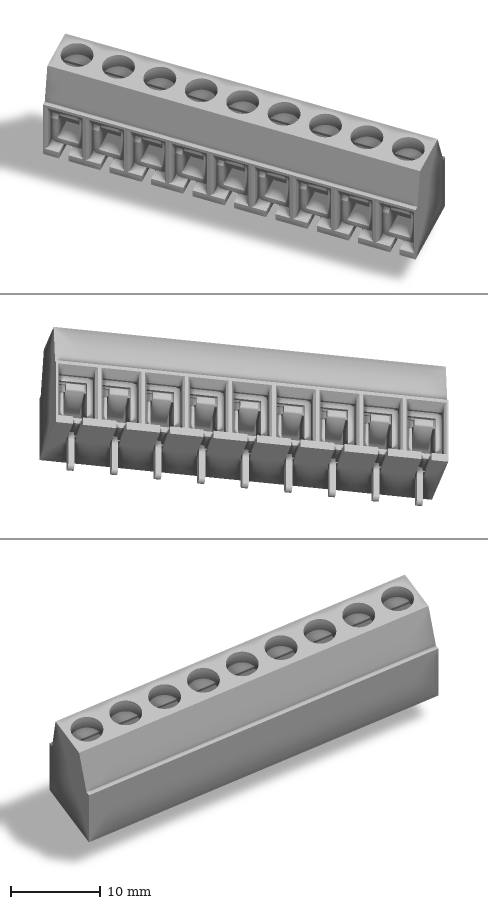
import cadquery as cq
import math

ROW_LENGTH = 45.0
POLE_COUNT = 9
POLE_WIDTH = ROW_LENGTH / POLE_COUNT
MID_X = POLE_WIDTH / 2

DEPTH = 9.0
HEIGHT = 12.95
LEDGE_HEIGHT = 7.95
LEDGE_DEPTH = 0.55
TOP_FRONT_Y = 1.35
TOP_BACK_Y = 6.75

AXIS_Y = 4.1
WELL_DIAMETER = 3.7
WELL_DEPTH = 1.8
DRIVER_SLOT_WIDTH = 0.8
DRIVER_SLOT_DEPTH = 0.35
PIN_LENGTH = 3.65
PIN_WIDTH = 0.7
PIN_THICKNESS = 1.1
PIN_NECK_WIDTH = 0.6
PIN_SLOT_WIDTH = 1.12
SHOULDER_BOTTOM = 0.4
SHOULDER_TOP = 0.55

FLOOR_HEIGHT = 0.95
RIM_WIDTH = 0.202
RIM_TOP = 7.55
POCKET_INSET = 0.428
POCKET_RIGHT = POLE_WIDTH - POCKET_INSET
POCKET_TOP = 6.9
LEAD_IN_STEEPNESS = math.tan(math.radians(60.0))
SIDE_LEAD_IN = (POCKET_INSET - RIM_WIDTH) * LEAD_IN_STEEPNESS
TOP_LEAD_IN = (RIM_TOP - POCKET_TOP) * LEAD_IN_STEEPNESS
FRAME_Y = 1.5
FRAME_RELIEF = 0.22
FRAME_CORNER_RADIUS = 0.68

WINDOW_INSET = 1.15
WINDOW_BOTTOM = 1.6
WINDOW_TOP = 6.2
WINDOW_CORNER_RADIUS = 0.2
WINDOW_BACK_Y = 4.28

NOTCH_SILL_FRONT = 4.6
NOTCH_SILL_BACK = 5.0
NOTCH_BACK_Y = 1.8
STEP_TOP = 5.95
STEP_DEPTH = 0.15
STEP_CORNER_RADIUS = 0.45

CLAMP_INSET = 1.45
CLAMP_FRONT_Y = FRAME_Y
CLAMP_FACE_BOTTOM = 5.18
CLAMP_SLOPE_END = 3.6
CLAMP_NOSE_RADIUS = 0.3
CLAMP_FOOT_RADIUS = 0.45
CROSSBAR_BOTTOM = 5.1


def box(x_range, y_range, z_range):
    """Box between the given pairs of X, Y and Z limits."""
    size = [high - low for low, high in (x_range, y_range, z_range)]
    return cq.Workplane("XY").box(*size, centered=False).translate((x_range[0], y_range[0], z_range[0]))


def centred(width):
    """X limits of a feature of this width in the middle of the pole."""
    return (MID_X - width / 2, MID_X + width / 2)


def extrude_profile(points, x_range):
    """Closed (Y, Z) outline extruded between two X limits."""
    length = x_range[1] - x_range[0]
    return cq.Workplane("YZ").polyline(points).close().extrude(length).translate((x_range[0], 0, 0))


def housing_block():
    outline = [
        (0, 0),
        (DEPTH, 0),
        (DEPTH, LEDGE_HEIGHT),
        (DEPTH - LEDGE_DEPTH, LEDGE_HEIGHT),
        (TOP_BACK_Y, HEIGHT),
        (TOP_FRONT_Y, HEIGHT),
        (LEDGE_DEPTH, LEDGE_HEIGHT),
        (0, LEDGE_HEIGHT),
    ]
    return extrude_profile(outline, (0, POLE_WIDTH))


def screw_well():
    """Round well with a driver slot across its floor."""
    floor_z = HEIGHT - WELL_DEPTH
    well = cq.Workplane("XY", origin=(MID_X, AXIS_Y, floor_z)).circle(WELL_DIAMETER / 2).extrude(WELL_DEPTH)
    below = cq.Workplane("XY", origin=(MID_X, AXIS_Y, floor_z - DRIVER_SLOT_DEPTH))
    disc = below.circle(WELL_DIAMETER / 2).extrude(DRIVER_SLOT_DEPTH)
    strip = below.rect(WELL_DIAMETER, DRIVER_SLOT_WIDTH).extrude(DRIVER_SLOT_DEPTH)
    return well.union(disc.intersect(strip))


def wire_funnel():
    """Lead-in sloped at the top and sides, and the straight pocket behind it."""
    back_y = FRAME_Y + FRAME_RELIEF
    plan = [
        (RIM_WIDTH, 0),
        (POLE_WIDTH - RIM_WIDTH, 0),
        (POCKET_RIGHT, SIDE_LEAD_IN),
        (POCKET_RIGHT, back_y),
        (POCKET_INSET, back_y),
        (POCKET_INSET, SIDE_LEAD_IN),
    ]
    section = [
        (0, FLOOR_HEIGHT),
        (0, RIM_TOP),
        (TOP_LEAD_IN, POCKET_TOP),
        (back_y, POCKET_TOP),
        (back_y, FLOOR_HEIGHT),
    ]
    plan_prism = cq.Workplane("XY").polyline(plan).close().extrude(HEIGHT)
    return plan_prism.intersect(extrude_profile(section, (0, POLE_WIDTH)))


def raised_frame():
    """Panel at the back of the pocket, rounded at all corners but the upper left."""
    panel = box((POCKET_INSET, POCKET_RIGHT), (FRAME_Y, FRAME_Y + FRAME_RELIEF), (FLOOR_HEIGHT, POCKET_TOP))
    return panel.edges("|Y").edges(">X or <Z").fillet(FRAME_CORNER_RADIUS)


def window():
    opening = box(
        (WINDOW_INSET, POLE_WIDTH - WINDOW_INSET),
        (FRAME_Y, WINDOW_BACK_Y),
        (WINDOW_BOTTOM, WINDOW_TOP),
    )
    return opening.edges("|Y and <Z").fillet(WINDOW_CORNER_RADIUS)


def frame_notch():
    outline = [
        (FRAME_Y, NOTCH_SILL_FRONT),
        (NOTCH_BACK_Y, NOTCH_SILL_BACK),
        (NOTCH_BACK_Y, WINDOW_TOP),
        (FRAME_Y, WINDOW_TOP),
    ]
    recess = extrude_profile(outline, (POCKET_INSET, WINDOW_INSET))
    step = box(
        (POCKET_INSET, CLAMP_INSET),
        (NOTCH_BACK_Y, NOTCH_BACK_Y + STEP_DEPTH),
        (NOTCH_SILL_BACK, STEP_TOP),
    )
    step = step.edges("|Y").edges("<X").edges(">Z").fillet(STEP_CORNER_RADIUS)
    return recess.union(step)


def wire_clamp():
    """Clamp with a chamfered top, a rounded nose and a slope down to the back of the window."""
    outline = [
        (CLAMP_FRONT_Y, CLAMP_FACE_BOTTOM),
        (CLAMP_FRONT_Y, STEP_TOP),
        (NOTCH_BACK_Y, WINDOW_TOP),
        (WINDOW_BACK_Y, WINDOW_TOP),
        (WINDOW_BACK_Y, CLAMP_SLOPE_END),
    ]
    clamp = extrude_profile(outline, (CLAMP_INSET, POLE_WIDTH - CLAMP_INSET))
    front_nose = cq.selectors.NearestToPointSelector((MID_X, CLAMP_FRONT_Y, CLAMP_FACE_BOTTOM))
    return clamp.edges(front_nose).fillet(CLAMP_NOSE_RADIUS)


def clamp_crossbar():
    """Bar across the full window behind the clamp face."""
    return box(
        (WINDOW_INSET, POLE_WIDTH - WINDOW_INSET),
        (NOTCH_BACK_Y, WINDOW_BACK_Y),
        (CROSSBAR_BOTTOM, WINDOW_TOP),
    )


def pin_slot():
    """Slot through the floor, under the frame, with a round end at the pin axis."""
    radius = PIN_SLOT_WIDTH / 2
    straight = box(centred(PIN_SLOT_WIDTH), (0, AXIS_Y), (0, FLOOR_HEIGHT))
    round_end = cq.Workplane("XY", origin=(MID_X, AXIS_Y, 0)).circle(radius).extrude(FLOOR_HEIGHT)
    return straight.union(round_end)


def solder_pin():
    """Flat pin with a full round tip, a shoulder and a neck up to the roof of the slot."""
    radius = PIN_THICKNESS / 2
    tip_start = radius - PIN_LENGTH
    shank = (
        cq.Workplane("YZ", origin=(MID_X - PIN_WIDTH / 2, AXIS_Y, 0))
        .moveTo(-radius, SHOULDER_BOTTOM)
        .lineTo(-radius, tip_start)
        .threePointArc((0, -PIN_LENGTH), (radius, tip_start))
        .lineTo(radius, SHOULDER_BOTTOM)
        .close()
        .extrude(PIN_WIDTH)
    )
    y_range = (AXIS_Y - radius, AXIS_Y + radius)
    shoulder = box(centred(PIN_SLOT_WIDTH), y_range, (SHOULDER_BOTTOM, SHOULDER_TOP))
    neck = box(centred(PIN_NECK_WIDTH), y_range, (SHOULDER_TOP, FLOOR_HEIGHT))
    return shank.union(shoulder).union(neck)


def terminal_pole():
    body = housing_block().cut(screw_well()).cut(wire_funnel())
    body = body.union(raised_frame()).cut(window())
    body = body.union(clamp_crossbar()).union(wire_clamp())
    clamp_foot = cq.selectors.NearestToPointSelector((MID_X, WINDOW_BACK_Y, CLAMP_SLOPE_END))
    body = body.edges(clamp_foot).fillet(CLAMP_FOOT_RADIUS)
    return body.cut(frame_notch()).cut(pin_slot()).union(solder_pin())


pole = terminal_pole()
poles = [pole.translate((index * POLE_WIDTH, 0, 0)).val() for index in range(POLE_COUNT)]

result = cq.Compound.makeCompound(poles)